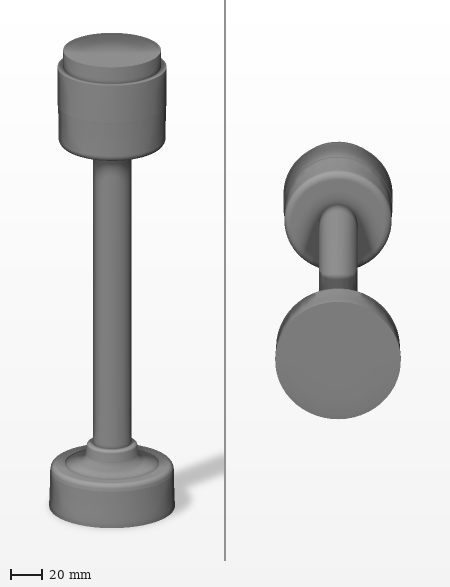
import cadquery as cq
import math

total_height = 312.0

tube_radius = 24.5 / 2
socket_depth = 14.5

base_radius = 80.5 / 2
foot_band_top = 2.8
wall_top = 24.5
wall_top_radius = 39.5
shoulder_bottom = 26.5
shoulder_radius = 39.3
rim_top = 29.3
rim_outer_radius = 35.5
rim_inner_radius = 60.5 / 2
recess_floor = 28.7
cone_top = 31.5
cone_top_radius = 21.0
collar_bottom = 36.0
collar_bottom_radius = 17.0
collar_edge = 41.5
collar_edge_radius = 16.2
collar_top = 43.7
collar_top_radius = 14.5

head_bottom = 247.7
head_bottom_radius = 59.5 / 2
cup_edge = 252.0
cup_edge_radius = 34.3
cup_top = 275.0
cup_top_radius = 69.3 / 2
ring_top = 300.7
ring_radius = 70.0 / 2
cap_radius = 62.7 / 2


def round_midpoint(start, end, center):
    """Point at 45 degrees on the quarter ellipse that joins start and end."""
    weight = math.sqrt(0.5)
    return tuple(c + weight * ((a - c) + (b - c)) for a, b, c in zip(start, end, center))


def tube_rod(bottom, top):
    """Cylinder of the tube diameter between two heights."""
    return cq.Workplane("XY").workplane(offset=bottom).circle(tube_radius).extrude(top - bottom)


def make_base():
    """Round foot with a coned top, a flared collar and a socket for the tube."""
    shoulder = (shoulder_radius, shoulder_bottom)
    rim = (rim_outer_radius, rim_top)
    rim_middle = round_midpoint(shoulder, rim, (rim_outer_radius, shoulder_bottom))
    cone_end = (cone_top_radius, cone_top)
    flare_end = (collar_bottom_radius, collar_bottom)
    collar_rim = (collar_edge_radius, collar_edge)
    collar_end = (collar_top_radius, collar_top)
    collar_middle = round_midpoint(collar_rim, collar_end, (collar_top_radius, collar_edge))
    body = (
        cq.Workplane("XZ")
        .lineTo(base_radius, 0)
        .lineTo(base_radius, foot_band_top)
        .lineTo(wall_top_radius, wall_top)
        .lineTo(*shoulder)
        .threePointArc(rim_middle, rim)
        .lineTo(rim_inner_radius, rim_top)
        .lineTo(rim_inner_radius, recess_floor)
        .lineTo(*cone_end)
        .tangentArcPoint(flare_end, relative=False)
        .lineTo(*collar_rim)
        .threePointArc(collar_middle, collar_end)
        .lineTo(0, collar_top)
        .close()
        .revolve(360, (0, 0), (0, 1))
    )
    return body.cut(tube_rod(collar_top - socket_depth, collar_top))


def make_tube():
    """Straight solid tube rod seated in both sockets."""
    return tube_rod(collar_top - socket_depth, head_bottom + socket_depth)


def make_head():
    """Tapered cup, ring and top cap in one piece, with a socket for the tube."""
    floor_edge = (head_bottom_radius, head_bottom)
    cup_wall = (cup_edge_radius, cup_edge)
    cup_middle = round_midpoint(floor_edge, cup_wall, (head_bottom_radius, cup_edge))
    body = (
        cq.Workplane("XZ")
        .moveTo(0, head_bottom)
        .lineTo(*floor_edge)
        .threePointArc(cup_middle, cup_wall)
        .lineTo(cup_top_radius, cup_top)
        .lineTo(ring_radius, cup_top)
        .lineTo(ring_radius, ring_top)
        .lineTo(cap_radius, ring_top)
        .lineTo(cap_radius, total_height)
        .lineTo(0, total_height)
        .close()
        .revolve(360, (0, 0), (0, 1))
    )
    return body.cut(tube_rod(head_bottom, head_bottom + socket_depth))


base = make_base()
tube = make_tube()
head = make_head()

result = cq.Compound.makeCompound([base.val(), tube.val(), head.val()])